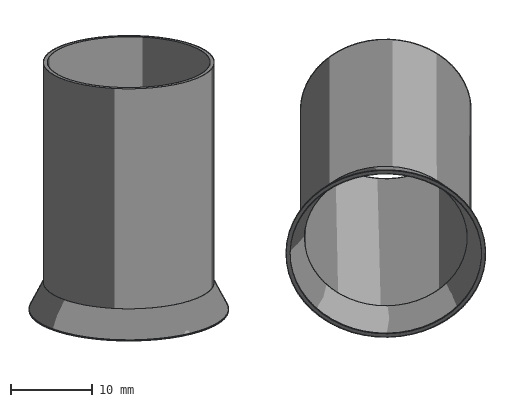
import cadquery as cq

height = 32.0
tube_outer_radius = 10.5
wall = 0.5
flare_outer_radius = 12.25
flare_height = 3.6
rim_height = 0.15

tube_inner_radius = tube_outer_radius - wall
flare_inner_radius = flare_outer_radius - wall

wall_section = (
    cq.Workplane("XZ")
    .moveTo(flare_inner_radius, 0)
    .lineTo(flare_outer_radius, 0)
    .lineTo(flare_outer_radius, rim_height)
    .lineTo(tube_outer_radius, flare_height)
    .lineTo(tube_outer_radius, height)
    .lineTo(tube_inner_radius, height)
    .lineTo(tube_inner_radius, flare_height)
    .lineTo(flare_inner_radius, rim_height)
    .close()
)

result = wall_section.revolve(360, (0, 0, 0), (0, 1, 0))